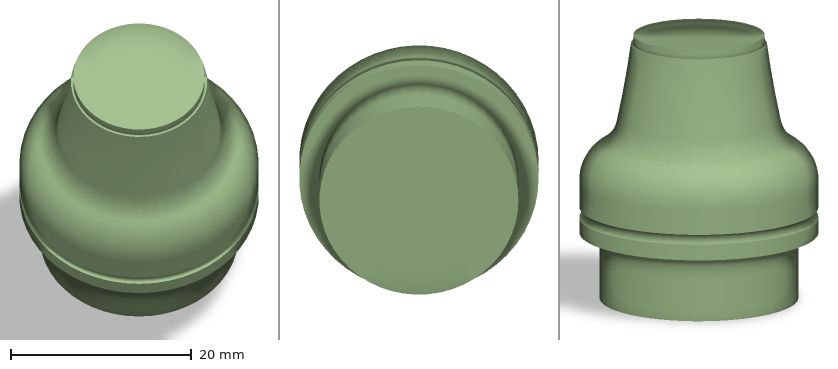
import cadquery as cq
import math

total_height = 30
flange_bottom = 7.47
groove_bottom = 9.2
groove_top = 10.38
dome_bottom = 13.45
dome_top = 17.65
neck_bottom = 20.1
neck_top = 28.98

body_diameter = 26.5

body_radius = body_diameter / 2
base_radius = 11.0
stem_radius = 7.25
neck_top_radius = 7.53
neck_bottom_radius = 9.1
dome_arc_radius = 4.85

groove_depth = 0.72
neck_sag = 0.1


def revolve_about_z(profile):
    """Close a radius-height profile on the XZ plane and turn it through a full circle."""
    return profile.close().revolve(360, (0, 0, 0), (0, 1, 0))


def make_core():
    """Wide base below the housing, with a stem that runs through to the top."""
    profile = (
        cq.Workplane("XZ")
        .lineTo(base_radius, 0)
        .lineTo(base_radius, flange_bottom)
        .lineTo(stem_radius, flange_bottom)
        .lineTo(stem_radius, total_height)
        .lineTo(0, total_height)
    )
    return revolve_about_z(profile)


def make_housing():
    """Bell-shaped sleeve around the stem, with a round-bottomed groove near its rim."""
    groove_radius = (groove_top - groove_bottom) / 2
    groove_floor = body_radius - groove_depth
    groove_arc_start = groove_floor + groove_radius
    groove_middle = (groove_top + groove_bottom) / 2

    dome_center = body_radius - dome_arc_radius
    dome_angle = math.asin((dome_top - dome_bottom) / dome_arc_radius)
    dome_top_radius = dome_center + dome_arc_radius * math.cos(dome_angle)
    dome_middle = (
        dome_center + dome_arc_radius * math.cos(dome_angle / 2),
        dome_bottom + dome_arc_radius * math.sin(dome_angle / 2),
    )

    neck_middle = (
        (neck_bottom_radius + neck_top_radius) / 2 - neck_sag,
        (neck_bottom + neck_top) / 2,
    )

    profile = (
        cq.Workplane("XZ")
        .moveTo(stem_radius, flange_bottom)
        .lineTo(body_radius, flange_bottom)
        .lineTo(body_radius, groove_bottom)
        .lineTo(groove_arc_start, groove_bottom)
        .threePointArc((groove_floor, groove_middle), (groove_arc_start, groove_top))
        .lineTo(body_radius, groove_top)
        .lineTo(body_radius, dome_bottom)
        .threePointArc(dome_middle, (dome_top_radius, dome_top))
        .tangentArcPoint((neck_bottom_radius, neck_bottom), relative=False)
        .threePointArc(neck_middle, (neck_top_radius, neck_top))
        .lineTo(stem_radius, neck_top)
    )
    return revolve_about_z(profile)


core = make_core()
housing = make_housing()

result = cq.Compound.makeCompound([core.val(), housing.val()])